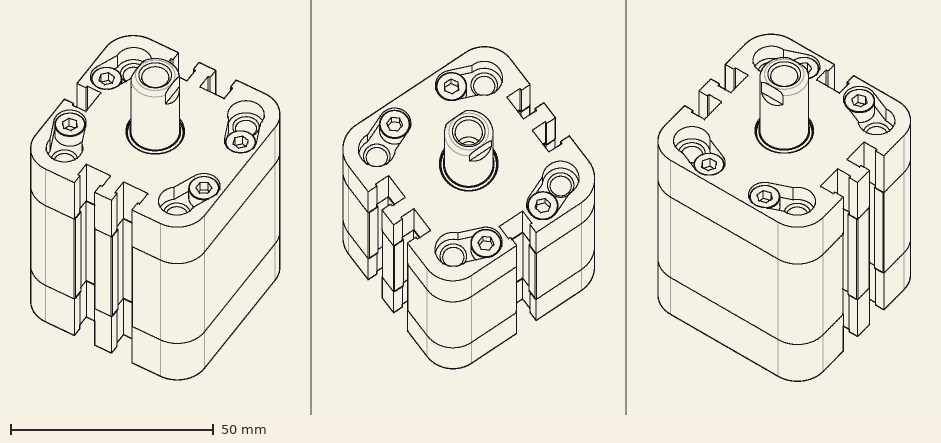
import cadquery as cq
import math

side = 49.0
corner_radius = 7.9
body_height = 58.9
cap_height = 14.1
total_height = 80.5
barrel_height = body_height - 2 * cap_height
barrel_top = body_height - cap_height

slot_offset = 5.4
slot_inner_width = 7.1
cap_slot_mouth = 5.9
cap_slot_lip = 2.65
cap_slot_depth = 6.6
barrel_slot_mouth = 5.6
barrel_slot_lip = 2.9
barrel_slot_depth = 6.4
barrel_slot_chamfer = 0.25

mount_offset = 16.3
mount_diameter = 9.0
dimple_diameter = 6.5
dimple_floor_diameter = 5.2
screw_x = 19.4
screw_y = 8.6
trough_width = 8.0
pocket_depth = 4.7
screw_head_diameter = 7.5
screw_head_chamfer = 0.2
screw_head_recess = 0.7
hex_diameter = 3.95
hex_depth = 3.0

screw_corners = [(-1, 1, -12), (1, 1, -12), (-1, -1, 9), (1, -1, 30)]

rod_diameter = 12.0
rod_edge_radius = 1.1
rod_flat_width = 10.0
rod_flat_length = 4.5
rod_hole_diameter = 6.7
rod_hole_mouth = 8.05
rod_hole_floor = 4.9
rod_hole_depth = 12.1

groove_mouth_diameter = 14.5
groove_wall_diameter = 14.0
groove_floor_diameter = 13.7
groove_lip_diameter = 12.55
groove_depth = 0.65


def slot_outline(mouth, lip, depth, chamfer):
    """Points of a T-slot cut into the -Y side, centred on X = 0."""
    face = -side / 2
    right = [(mouth / 2, face + lip), (slot_inner_width / 2, face + lip), (slot_inner_width / 2, face + depth)]
    if chamfer:
        right = [(mouth / 2 + chamfer, face), (mouth / 2, face + chamfer)] + right
    else:
        right = [(mouth / 2, face)] + right
    left = [(-x, y) for x, y in reversed(right)]
    return right + left


def slotted_block(height, mouth, lip, depth, chamfer=0.0):
    """Rounded square block standing on Z = 0 with all five T-slots."""
    block = cq.Workplane("XY").rect(side, side).extrude(height).edges("|Z").fillet(corner_radius)
    slot = cq.Workplane("XY").polyline(slot_outline(mouth, lip, depth, chamfer)).close().extrude(height)
    for x in (-slot_offset, slot_offset):
        block = block.cut(slot.translate((x, 0, 0)))
        block = block.cut(slot.translate((x, 0, 0)).mirror("XZ"))
    return block.cut(slot.rotate((0, 0, 0), (0, 0, 1), -90))


def cap_block():
    return slotted_block(cap_height, cap_slot_mouth, cap_slot_lip, cap_slot_depth)


def cone(bottom_diameter, top_diameter, bottom_z, top_z):
    height = top_z - bottom_z
    solid = cq.Solid.makeCone(bottom_diameter / 2, top_diameter / 2, height, cq.Vector(0, 0, bottom_z))
    return cq.Workplane("XY").add(solid)


def corner_pocket(sign_x, sign_y):
    """Mounting recess with its dimple, and the trough that runs to the screw."""
    mount = (sign_x * mount_offset, sign_y * mount_offset)
    screw = (sign_x * screw_x, sign_y * screw_y)
    run_x = screw[0] - mount[0]
    run_y = screw[1] - mount[1]
    floor = body_height - pocket_depth
    plane = cq.Workplane("XY").workplane(offset=floor)
    pocket = plane.center(*mount).circle(mount_diameter / 2).extrude(pocket_depth)
    trough = (
        plane.center((mount[0] + screw[0]) / 2, (mount[1] + screw[1]) / 2)
        .slot2D(math.hypot(run_x, run_y) + trough_width, trough_width, math.degrees(math.atan2(run_y, run_x)))
        .extrude(pocket_depth)
    )
    dimple_depth = (dimple_diameter - dimple_floor_diameter) / 2
    dimple = cone(dimple_floor_diameter, dimple_diameter, floor - dimple_depth, floor)
    return pocket.union(trough).union(dimple.translate((*mount, 0)))


def screw_head(sign_x, sign_y, hex_angle):
    """Socket screw head standing on the floor of its trough."""
    head_height = pocket_depth - screw_head_recess
    head_top = body_height - screw_head_recess
    head = cq.Workplane("XY").circle(screw_head_diameter / 2).extrude(head_height)
    head = head.faces(">Z").edges().chamfer(screw_head_chamfer)
    socket = cq.Workplane("XY").polygon(6, hex_diameter).extrude(hex_depth)
    socket = socket.rotate((0, 0, 0), (0, 0, 1), hex_angle).translate((0, 0, head_height - hex_depth))
    return head.cut(socket).translate((sign_x * screw_x, sign_y * screw_y, head_top - head_height))


def wiper_groove():
    """Ring groove around the rod: bevelled outer wall and a conical inner wall."""
    bevel = (groove_mouth_diameter - groove_wall_diameter) / 2
    floor = body_height - groove_depth
    profile = [
        (groove_lip_diameter / 2, body_height),
        (groove_floor_diameter / 2, floor),
        (groove_wall_diameter / 2, floor),
        (groove_wall_diameter / 2, body_height - bevel),
        (groove_mouth_diameter / 2, body_height),
    ]
    return cq.Workplane("XZ").polyline(profile).close().revolve(360, (0, 0, 0), (0, 1, 0))


def make_bearing_cap():
    cap = cap_block().translate((0, 0, barrel_top))
    for sign_x, sign_y, hex_angle in screw_corners:
        cap = cap.cut(corner_pocket(sign_x, sign_y))
        cap = cap.union(screw_head(sign_x, sign_y, hex_angle))
    rod_bore = cq.Workplane("XY").workplane(offset=barrel_top).circle(rod_diameter / 2).extrude(cap_height)
    return cap.cut(rod_bore).cut(wiper_groove())


def make_barrel():
    barrel = slotted_block(
        barrel_height, barrel_slot_mouth, barrel_slot_lip, barrel_slot_depth, barrel_slot_chamfer
    )
    return barrel.translate((0, 0, cap_height))


def wrench_flat():
    """Cutter for the flat on the +X side, with a 45 degree shoulder below it."""
    inner = rod_flat_width / 2
    outer = rod_diameter / 2
    shoulder = total_height - rod_flat_length
    profile = [
        (inner, total_height),
        (inner, shoulder),
        (outer, shoulder - (outer - inner)),
        (outer, total_height),
    ]
    return cq.Workplane("XZ").polyline(profile).close().extrude(rod_diameter / 2, both=True)


def make_piston_rod():
    rod = (
        cq.Workplane("XY").workplane(offset=barrel_top)
        .circle(rod_diameter / 2).extrude(total_height - barrel_top)
        .faces(">Z").edges().fillet(rod_edge_radius)
    )
    mouth_depth = (rod_hole_mouth - rod_hole_diameter) / 2
    tip_depth = (rod_hole_diameter - rod_hole_floor) / 2
    hole_end = total_height - rod_hole_depth
    hole = cq.Workplane("XY").workplane(offset=hole_end).circle(rod_hole_diameter / 2).extrude(rod_hole_depth)
    hole = hole.union(cone(rod_hole_diameter, rod_hole_mouth, total_height - mouth_depth, total_height))
    hole = hole.union(cone(rod_hole_floor, rod_hole_diameter, hole_end - tip_depth, hole_end))
    return rod.cut(wrench_flat()).cut(wrench_flat().mirror("YZ")).cut(hole)


end_cap = cap_block()
barrel = make_barrel()
bearing_cap = make_bearing_cap()
piston_rod = make_piston_rod()

result = cq.Compound.makeCompound([end_cap.val(), barrel.val(), bearing_cap.val(), piston_rod.val()])